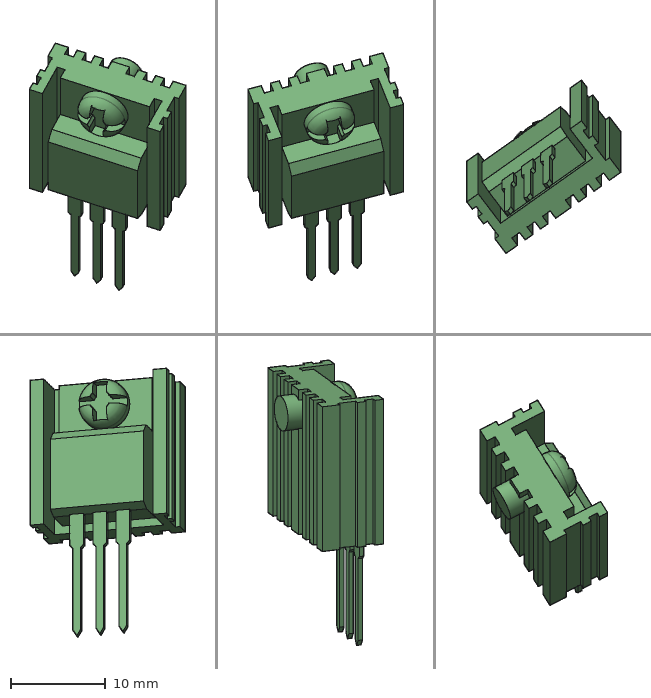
import cadquery as cq


sink_width = 15.0
sink_height = 16.0
rib = sink_width / 15
side_wall = 1.5 * rib
fin_depth = rib
back_y = 3 * rib
channel_front_y = -4 * rib
side_groove_depth = rib / 2
center_fin_half = rib

package_width = 10.25
package_front_y = -4.5
tab_thickness = 1.25
package_bottom_z = 0.88
body_top_z = 10.1
top_chamfer_y = 1.0
top_chamfer_z = 0.97
bottom_chamfer_y = 1.2
bottom_chamfer_z = 0.5

total_height = 28.52
lead_tip_z = sink_height - total_height
lead_pitch = 2.55
lead_thickness = 0.5
lead_back_y = -2.97
lead_wide = 1.5
lead_narrow = 0.85
lead_shoulder_z = -2.48
lead_point_length = 0.68

screw_z = sink_height - 2.7
shaft_diameter = 3.75
shaft_end_y = 4.6
head_diameter = 5.3
head_rim = 0.85
head_dome = 1.48
cross_slot_width = 0.9
cross_bar_width = 1.55
cross_bar_length = 4.2
cross_center_diameter = 2.25


def box_between(x_range, y_range, z_range):
    """Box spanning the given (low, high) ranges."""
    lows, highs = zip(x_range, y_range, z_range)
    sizes = [high - low for low, high in zip(lows, highs)]
    return cq.Workplane("XY").box(*sizes, centered=False).translate(lows)


def y_cylinder(diameter, front_y, rear_y):
    """Cylinder on the screw axis between two Y positions."""
    plane = cq.Workplane("XZ", origin=(0, front_y, screw_z))
    return plane.circle(diameter / 2).extrude(front_y - rear_y)


def heat_sink():
    half_width = sink_width / 2
    full_z = (0, sink_height)
    sink = box_between((-half_width, half_width), (channel_front_y, back_y), full_z)

    channel_half = half_width - side_wall
    sink = sink.cut(box_between((-channel_half, channel_half), (channel_front_y, 0), full_z))

    groove_floor = half_width - side_groove_depth
    for side in (-1, 1):
        for gap in range(3):
            inner = center_fin_half + 2 * rib * gap
            x_range = sorted((side * inner, side * (inner + rib)))
            sink = sink.cut(box_between(x_range, (back_y - fin_depth, back_y), full_z))
        for y_range in ((-rib, rib), (-3 * rib, -2 * rib)):
            x_range = sorted((side * groove_floor, side * half_width))
            sink = sink.cut(box_between(x_range, y_range, full_z))
    return sink


def package():
    half_width = package_width / 2
    side_profile = [
        (0, package_bottom_z),
        (0, sink_height),
        (-tab_thickness, sink_height),
        (-tab_thickness, body_top_z),
        (package_front_y + top_chamfer_y, body_top_z),
        (package_front_y, body_top_z - top_chamfer_z),
        (package_front_y, package_bottom_z + bottom_chamfer_z),
        (package_front_y + bottom_chamfer_y, package_bottom_z),
    ]
    return cq.Workplane("YZ").polyline(side_profile).close().extrude(half_width, both=True)


def lead(center_x):
    half_wide = lead_wide / 2
    half_narrow = lead_narrow / 2
    root_z = package_bottom_z + bottom_chamfer_z / 2
    neck_z = lead_shoulder_z - (half_wide - half_narrow)
    point_z = lead_tip_z + lead_point_length
    outline = [
        (-half_wide, root_z),
        (-half_wide, lead_shoulder_z),
        (-half_narrow, neck_z),
        (-half_narrow, point_z),
        (0, lead_tip_z),
        (half_narrow, point_z),
        (half_narrow, neck_z),
        (half_wide, lead_shoulder_z),
        (half_wide, root_z),
    ]
    plane = cq.Workplane("XZ", origin=(center_x, lead_back_y, 0))
    return plane.polyline(outline).close().extrude(lead_thickness)


def screw():
    rim_y = -tab_thickness - head_rim
    head_front_y = rim_y - head_dome
    shaft = y_cylinder(shaft_diameter, shaft_end_y, -tab_thickness)
    head = y_cylinder(head_diameter, -tab_thickness, head_front_y)
    head = head.faces("<Y").edges().fillet(head_dome)

    recess_plane = cq.Workplane("XZ", origin=(0, rim_y, screw_z))
    slot = recess_plane.rect(head_diameter, cross_slot_width).extrude(head_dome)
    bar = recess_plane.rect(cross_bar_width, cross_bar_length).extrude(head_dome)
    center = y_cylinder(cross_center_diameter, rim_y, head_front_y)
    return shaft.union(head.cut(slot).cut(bar).cut(center))


result = heat_sink().union(package())
for position in (-1, 0, 1):
    result = result.union(lead(position * lead_pitch))
result = result.union(screw())